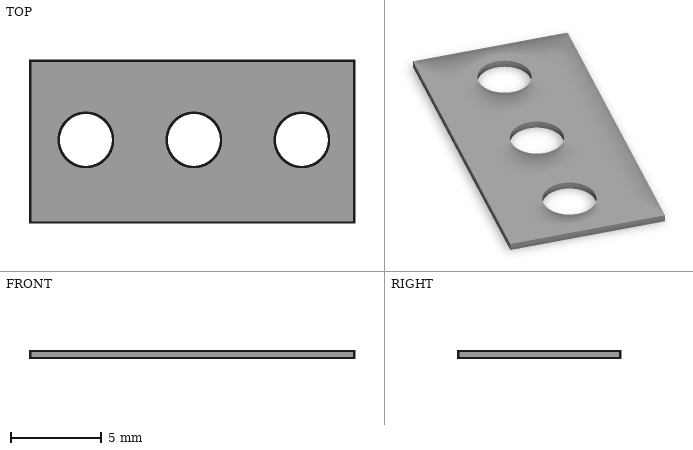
import cadquery as cq

length = 18.0
width = length / 2
thickness = 0.41

hole_count = 3
hole_diameter = 3.0
hole_pitch = length / hole_count
row_offset_x = 0.09
row_offset_y = 0.09

plate = cq.Workplane("XY").box(length, width, thickness)

result = (
    plate.faces(">Z")
    .workplane(origin=(row_offset_x, row_offset_y, 0))
    .rarray(hole_pitch, 0.18, hole_count, 1)
    .hole(hole_diameter)
)